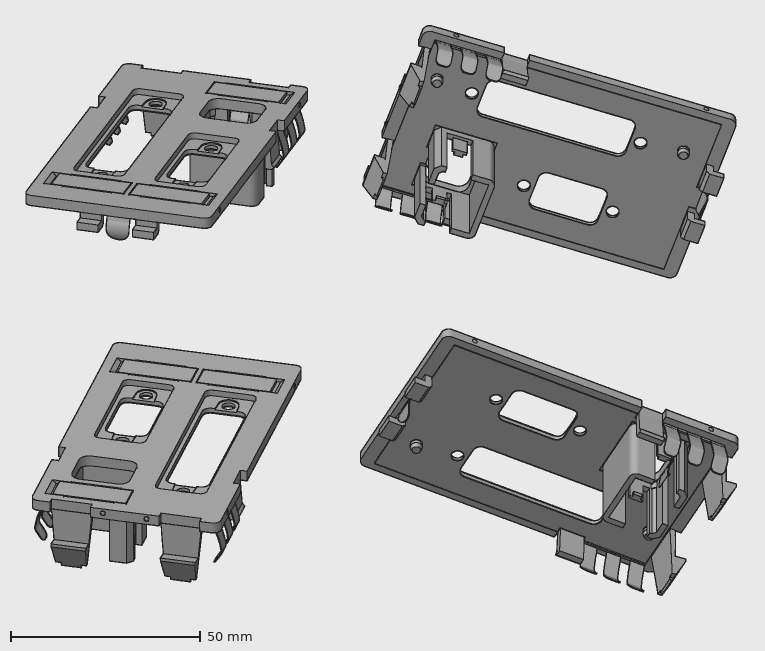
import cadquery as cq


PLATE_WIDTH = 51.5
PLATE_LENGTH = 87.4
PLATE_THICKNESS = 3.0
PLATE_CENTER_Y = -0.3
PLATE_CORNER_RADIUS = 2.1
PLATE_BACK_Y = PLATE_CENTER_Y + PLATE_LENGTH / 2

DOME_RADIUS = 0.68
DOME_HEIGHT = 0.2
DOME_STUB = 0.45
DOME_Z = -1.3
SIDE_DOME_OFFSET = 34.9
BACK_DOME_X = 6.0
BACK_DOME_RISE = 0.2

HOOK_X = 14.9
HOOK_NOTCH_WIDTH = 11.0
HOOK_FLARE_WIDTH = 11.4
HOOK_FLARE_SAG = 0.3
HOOK_FLARE_MID_Z = -4.0
HOOK_NECK_WIDTH = 10.7
HOOK_NECK_Z = -5.2
HOOK_END_WIDTH = 8.4
HOOK_TIP_WIDTH = 5.4
HOOK_SHOULDER_Z = -18.5
HOOK_TIP_Z = -19.55
HOOK_NOSE_Y = 45.25
HOOK_NOTCH_DEPTH = 1.7

LEG_Y = 17.7
LEG_LENGTH = 7.1
LEG_NOTCH_X = 23.9
LEG_INNER_X = 22.2
LEG_BOTTOM_Z = -11.3

FOOT_X = 7.7
FOOT_WIDTH = 5.9
FOOT_BACK_Y = -40.4
FOOT_STEM = 2.0
FOOT_FRONT_Y = -45.25
FOOT_TOP_Z = -5.4
FOOT_BOTTOM_Z = -7.6
FOOT_CHAMFER = 0.9

CONNECTORS = [(-11.2, 1.8, 41.5), (11.2, -9.2, 19.2)]
OPENING_WIDTH = 11.8
OPENING_RADIUS = 2.3
RECESS_WIDTH = 14.0
RECESS_OVERHANG = 6.5
RECESS_RADIUS = 1.8
RECESS_DEPTH = 1.7
SCREW_RADIUS = 1.7
SCREW_OFFSET = 2.8
SCREW_PAD_RADIUS = 2.8
SCREW_PAD_ROOT_WIDTH = 6.1
SCREW_PAD_DEPTH = 0.4

JACK_X = 10.8
JACK_OPENING_X = 10.9
JACK_OPENING_Y = 23.2
JACK_OPENING_WIDTH = 15.8
JACK_OPENING_LENGTH = 12.8
JACK_OPENING_RADIUS = 2.9
HOUSING_WIDTH = 19.0
HOUSING_FRONT_Y = 14.2
HOUSING_BACK_Y = 31.1
HOUSING_WALL = 1.6
HOUSING_RADIUS = 2.0
HOUSING_BOTTOM_Z = -22.8
SIDE_GAP_FRONT_Y = 20.8
SIDE_GAP_BACK_Y = 28.0
LINTEL_BOTTOM_Z = -5.2
POST_WIDTH = 6.15
POST_INNER_CHAMFER = 0.9
LINTEL_INNER_CHAMFER = 1.2
POST_CHAMFER = 1.5
CATCH_ARM_Y = 24.1
CATCH_ARM_LENGTH = 4.0
CATCH_ARM_THICKNESS = 0.8
CATCH_ARM_BOTTOM_Z = -10.95
CATCH_LENGTH = 2.4
CATCH_PROTRUSION = 0.9
CATCH_HEIGHT = 1.1

LABELS = [(1, 35.5), (-1, -31.95), (1, -31.95)]
POCKET_INNER_X = 0.6
POCKET_OUTER_X = 22.9
POCKET_FLOOR_OUTER_X = 21.7
POCKET_WIDTH = 7.5
POCKET_DEPTH = 1.0
CLIP_INNER_X = 4.1
CLIP_OUTER_X = 17.7
CLIP_RELIEF = 0.3
LABEL_OUTER_X = 20.8
LABEL_GAP = 0.3

STUDS = [(-12.5, -33.3), (-12.4, 35.5)]
STUD_RADIUS = 1.6
STUD_END_RADIUS = 1.2
STUD_SHOULDER_Z = -4.25
STUD_END_Z = -5.4

SHEET_THICKNESS = 0.3
SHEET_CENTER_Z = -PLATE_THICKNESS - SHEET_THICKNESS / 2
SHEET_BACK_Y = 39.9
SHEET_FRONT_Y = -40.2
SHEET_EDGE_X = 23.5
SHEET_CLEARANCE = 0.2
FINGER_BACK_Y = 39.7
FINGER_WIDTH = 4.2
FINGER_PITCH = 7.0
FINGER_COUNT = 3
FINGER_TIP_RADIUS = 1.45
FINGER_OVERLAP = 0.45
FINGER_TIP_Z = -14.6
FLANGE_BOTTOM_Z = -3.8
FLANGE_OVERHANG = 0.1
FRONT_FINGER_WIDTH = 6.3
FRONT_FINGER_TIP_Z = -10.2
FRONT_FINGER_TIP_RADIUS = 3.1
TONGUE_WIDTH = 5.1


def box(x_min, x_max, y_min, y_max, z_min, z_max):
    block = cq.Workplane("XY").box(x_max - x_min, y_max - y_min, z_max - z_min, centered=False)
    return block.translate((x_min, y_min, z_min))


def rounded_block(x, y, width, length, radius, z_min, z_max):
    block = cq.Workplane("XY").workplane(offset=z_min).center(x, y).rect(width, length)
    return block.extrude(z_max - z_min).edges("|Z").fillet(radius)


def round_pin(x, y, radius, z_min, z_max):
    pin = cq.Workplane("XY").workplane(offset=z_min).center(x, y).circle(radius)
    return pin.extrude(z_max - z_min)


def flip_x(body):
    return body.mirror("YZ")




def plate_blank():
    return rounded_block(
        0, PLATE_CENTER_Y, PLATE_WIDTH, PLATE_LENGTH, PLATE_CORNER_RADIUS, -PLATE_THICKNESS, 0
    )


def right_dome():
    """Shallow round bump on the +X edge, with a stub that sinks into the plate."""
    face_x = PLATE_WIDTH / 2
    mid_height = DOME_HEIGHT * 3 / 4
    dome = (
        cq.Workplane("XY")
        .moveTo(face_x - DOME_STUB, 0)
        .lineTo(face_x + DOME_HEIGHT, 0)
        .threePointArc((face_x + mid_height, DOME_RADIUS / 2), (face_x, DOME_RADIUS))
        .lineTo(face_x - DOME_STUB, DOME_RADIUS)
        .close()
        .revolve(360, (0, 0, 0), (1, 0, 0))
    )
    return dome.translate((0, 0, DOME_Z))


def edge_domes():
    """Two bumps on each long edge and two on the back edge."""
    back_dome = right_dome().rotate((0, 0, 0), (0, 0, 1), 90)
    back_dome = back_dome.translate((0, PLATE_BACK_Y + BACK_DOME_RISE - PLATE_WIDTH / 2, 0))
    domes = [back_dome.translate((side * BACK_DOME_X, 0, 0)) for side in (-1, 1)]
    for end in (-1, 1):
        dome = right_dome().translate((0, PLATE_CENTER_Y + end * SIDE_DOME_OFFSET, 0))
        domes += [dome, flip_x(dome)]
    return domes


def hook(x):
    """Tapered tongue with a barb that points to the back."""
    side_profile = [
        (41.8, -PLATE_THICKNESS),
        (42.2, -11.95),
        (HOOK_NOSE_Y, -11.6),
        (HOOK_NOSE_Y, -12.5),
        (42.1, HOOK_TIP_Z),
        (41.5, -19.2),
        (40.2, -PLATE_THICKNESS),
    ]
    blade = cq.Workplane("YZ").polyline(side_profile).close().extrude(HOOK_FLARE_WIDTH / 2, both=True)
    flare_middle = (HOOK_FLARE_WIDTH / 2 - HOOK_FLARE_SAG, HOOK_FLARE_MID_Z)
    silhouette = (
        cq.Workplane("XZ")
        .moveTo(0, -PLATE_THICKNESS)
        .lineTo(HOOK_FLARE_WIDTH / 2, -PLATE_THICKNESS)
        .threePointArc(flare_middle, (HOOK_NECK_WIDTH / 2, HOOK_NECK_Z))
        .lineTo(HOOK_END_WIDTH / 2, HOOK_SHOULDER_Z)
        .lineTo(HOOK_TIP_WIDTH / 2, HOOK_SHOULDER_Z)
        .lineTo(HOOK_TIP_WIDTH / 2, HOOK_TIP_Z)
        .lineTo(0, HOOK_TIP_Z)
        .mirrorY()
        .extrude(-2 * HOOK_NOSE_Y)
    )
    return blade.intersect(silhouette).translate((x, 0, 0))


def hook_notch(x):
    return box(
        x - HOOK_NOTCH_WIDTH / 2,
        x + HOOK_NOTCH_WIDTH / 2,
        PLATE_BACK_Y - HOOK_NOTCH_DEPTH,
        HOOK_NOSE_Y,
        -PLATE_THICKNESS,
        0,
    )


def right_leg():
    """Snap leg with a small barb, at the +X edge."""
    profile = [
        (LEG_NOTCH_X, -PLATE_THICKNESS),
        (24.4, -9.9),
        (25.2, -10.7),
        (24.4, LEG_BOTTOM_Z),
        (22.7, LEG_BOTTOM_Z),
        (LEG_INNER_X, -PLATE_THICKNESS),
    ]
    leg = cq.Workplane("XZ").polyline(profile).close().extrude(LEG_LENGTH / 2, both=True)
    return leg.translate((0, LEG_Y, 0))


def right_leg_notch():
    return box(
        LEG_NOTCH_X, PLATE_WIDTH, LEG_Y - LEG_LENGTH / 2, LEG_Y + LEG_LENGTH / 2, -PLATE_THICKNESS, 0
    )


def foot(x):
    profile = [
        (FOOT_BACK_Y, -PLATE_THICKNESS),
        (FOOT_BACK_Y, FOOT_BOTTOM_Z + FOOT_CHAMFER),
        (FOOT_BACK_Y - FOOT_CHAMFER, FOOT_BOTTOM_Z),
        (FOOT_FRONT_Y, FOOT_BOTTOM_Z),
        (FOOT_FRONT_Y, FOOT_TOP_Z),
        (FOOT_BACK_Y - FOOT_STEM, FOOT_TOP_Z),
        (FOOT_BACK_Y - FOOT_STEM, -PLATE_THICKNESS),
    ]
    solid = cq.Workplane("YZ").polyline(profile).close().extrude(FOOT_WIDTH / 2, both=True)
    return solid.translate((x, 0, 0))


def screw_places(y, opening_length):
    """Y of each screw hole, with the direction that points away from the opening."""
    return [(y + end * (opening_length / 2 + SCREW_OFFSET), end) for end in (-1, 1)]


def connector_cut(x, y, opening_length):
    """Recess, opening, screw holes and the shallow pads around the screw holes."""
    recess = rounded_block(
        x, y, RECESS_WIDTH, opening_length + 2 * RECESS_OVERHANG, RECESS_RADIUS, -RECESS_DEPTH, 0
    )
    cut = recess.union(
        rounded_block(x, y, OPENING_WIDTH, opening_length, OPENING_RADIUS, -PLATE_THICKNESS, 0)
    )
    for screw_y, end in screw_places(y, opening_length):
        pad_root_y = y + end * (opening_length / 2 - OPENING_RADIUS / 2)
        pad = (
            cq.Workplane("XY")
            .workplane(offset=-RECESS_DEPTH - SCREW_PAD_DEPTH)
            .moveTo(x - SCREW_PAD_ROOT_WIDTH / 2, pad_root_y)
            .lineTo(x - SCREW_PAD_RADIUS, screw_y)
            .threePointArc((x, screw_y + end * SCREW_PAD_RADIUS), (x + SCREW_PAD_RADIUS, screw_y))
            .lineTo(x + SCREW_PAD_ROOT_WIDTH / 2, pad_root_y)
            .close()
            .extrude(SCREW_PAD_DEPTH)
        )
        hole = cq.Workplane("XY").center(x, screw_y).circle(SCREW_RADIUS).extrude(-PLATE_THICKNESS)
        cut = cut.union(pad).union(hole)
    return cut


def jack_opening():
    return rounded_block(
        JACK_OPENING_X,
        JACK_OPENING_Y,
        JACK_OPENING_WIDTH,
        JACK_OPENING_LENGTH,
        JACK_OPENING_RADIUS,
        -PLATE_THICKNESS,
        0,
    )


def jack_housing():
    """U-shaped front wall, two back posts and lintels over the side gaps, centered on X = 0."""
    half_width = HOUSING_WIDTH / 2
    inner_half_width = half_width - HOUSING_WALL
    top = -PLATE_THICKNESS
    shell = box(-half_width, half_width, HOUSING_FRONT_Y, HOUSING_BACK_Y, HOUSING_BOTTOM_Z, top)
    shell = shell.edges("|Z and <Y").fillet(HOUSING_RADIUS)
    shell = shell.edges("|Z and >Y").chamfer(POST_CHAMFER)
    for z_min, z_max, corner_chamfer in (
        (HOUSING_BOTTOM_Z, LINTEL_BOTTOM_Z, POST_INNER_CHAMFER),
        (LINTEL_BOTTOM_Z, top, LINTEL_INNER_CHAMFER),
    ):
        cavity = box(
            -inner_half_width,
            inner_half_width,
            HOUSING_FRONT_Y + HOUSING_WALL,
            HOUSING_BACK_Y - HOUSING_WALL,
            z_min,
            z_max,
        )
        shell = shell.cut(cavity.edges("|Z and >Y").chamfer(corner_chamfer))
    side_gaps = box(
        -half_width, half_width, SIDE_GAP_FRONT_Y, SIDE_GAP_BACK_Y, HOUSING_BOTTOM_Z, LINTEL_BOTTOM_Z
    )
    gap_half_width = half_width - POST_WIDTH
    back_gap = box(
        -gap_half_width, gap_half_width, SIDE_GAP_BACK_Y, HOUSING_BACK_Y, HOUSING_BOTTOM_Z, top
    )
    return shell.cut(side_gaps).cut(back_gap)


def pocket(side, y):
    """Label pocket with a sloped grip end and a relief along each long side."""
    profile = [
        (POCKET_INNER_X, 0),
        (POCKET_INNER_X, -POCKET_DEPTH),
        (POCKET_FLOOR_OUTER_X, -POCKET_DEPTH),
        (POCKET_OUTER_X, 0),
    ]
    cut = cq.Workplane("XZ").polyline(profile).close().extrude(POCKET_WIDTH / 2, both=True)
    relief = POCKET_WIDTH / 2 + CLIP_RELIEF
    cut = cut.union(box(CLIP_INNER_X, CLIP_OUTER_X, -relief, relief, -POCKET_DEPTH, 0))
    if side < 0:
        cut = flip_x(cut)
    return cut.translate((0, y, 0))


def stud(x, y):
    shoulder = cq.Workplane("XY").workplane(offset=STUD_SHOULDER_Z).circle(STUD_RADIUS)
    shoulder = shoulder.extrude(-PLATE_THICKNESS - STUD_SHOULDER_Z)
    end = (
        cq.Workplane("XY")
        .workplane(offset=STUD_END_Z)
        .circle(STUD_END_RADIUS)
        .workplane(offset=STUD_SHOULDER_Z - STUD_END_Z)
        .circle(STUD_RADIUS)
        .loft()
    )
    return shoulder.union(end).translate((x, y, 0))


def catch_arm():
    """Flat arm that hangs in the +X side gap of the jack housing, with a catch on its inner face."""
    inner = HOUSING_WIDTH / 2 - HOUSING_WALL
    arm = box(
        inner,
        inner + CATCH_ARM_THICKNESS,
        -CATCH_ARM_LENGTH / 2,
        CATCH_ARM_LENGTH / 2,
        CATCH_ARM_BOTTOM_Z,
        -PLATE_THICKNESS,
    )
    catch = box(
        inner - CATCH_PROTRUSION,
        inner,
        -CATCH_LENGTH / 2,
        CATCH_LENGTH / 2,
        CATCH_ARM_BOTTOM_Z,
        CATCH_ARM_BOTTOM_Z + CATCH_HEIGHT,
    )
    return arm.union(catch).translate((0, CATCH_ARM_Y, 0))


def make_plate():
    plate = plate_blank()
    for dome in edge_domes():
        plate = plate.union(dome)
    for side in (-1, 1):
        plate = plate.cut(hook_notch(side * HOOK_X)).union(hook(side * HOOK_X)).union(foot(side * FOOT_X))
    plate = plate.cut(right_leg_notch()).cut(flip_x(right_leg_notch()))
    plate = plate.union(right_leg()).union(flip_x(right_leg()))
    for connector in CONNECTORS:
        plate = plate.cut(connector_cut(*connector))
    for part in (jack_housing(), catch_arm(), flip_x(catch_arm())):
        plate = plate.union(part.translate((JACK_X, 0, 0)))
    plate = plate.cut(jack_opening())
    for label_place in LABELS:
        plate = plate.cut(pocket(*label_place))
    for stud_place in STUDS:
        plate = plate.union(stud(*stud_place))
    return plate




def make_label(side, y):
    half_width = POCKET_WIDTH / 2 - LABEL_GAP
    label = box(POCKET_INNER_X + LABEL_GAP, LABEL_OUTER_X, -half_width, half_width, -POCKET_DEPTH, 0)
    if side < 0:
        label = flip_x(label)
    return label.translate((0, y, 0))




def bent_finger(path, width, tip_z, tip_radius):
    """Strip bent along a path in the XZ plane, widened along Y, with a rounded tip."""
    finger = path.offset2D(SHEET_THICKNESS / 2).extrude(width / 2, both=True)
    silhouette = box(0, PLATE_LENGTH, -width / 2, width / 2, tip_z, -PLATE_THICKNESS)
    return finger.intersect(silhouette.edges("|X and <Z").fillet(tip_radius))


def side_finger():
    """Finger at the +X edge that bows outwards and turns back in at its tip."""
    path = (
        cq.Workplane("XZ")
        .moveTo(SHEET_EDGE_X - FINGER_OVERLAP, SHEET_CENTER_Z)
        .lineTo(SHEET_EDGE_X, SHEET_CENTER_Z)
        .lineTo(24.0, -5.0)
        .threePointArc((24.9, -7.5), (25.4, -10.1))
        .threePointArc((25.4, -10.95), (25.1, -11.7))
        .lineTo(23.2, FINGER_TIP_Z)
        .wire()
    )
    return bent_finger(path, FINGER_WIDTH, FINGER_TIP_Z, FINGER_TIP_RADIUS)


def right_fingers():
    """Row of fingers along the +X edge, joined at the root by a short flange."""
    row_length = FINGER_WIDTH + (FINGER_COUNT - 1) * FINGER_PITCH
    fingers = box(
        SHEET_EDGE_X - FINGER_OVERLAP,
        SHEET_EDGE_X + FLANGE_OVERHANG,
        FINGER_BACK_Y - row_length,
        FINGER_BACK_Y,
        FLANGE_BOTTOM_Z,
        -PLATE_THICKNESS,
    )
    for number in range(FINGER_COUNT):
        y = FINGER_BACK_Y - FINGER_WIDTH / 2 - number * FINGER_PITCH
        fingers = fingers.union(side_finger().translate((0, y, 0)))
    return fingers


def front_finger():
    """Single wide finger between the two feet."""
    path = (
        cq.Workplane("XZ")
        .moveTo(-SHEET_FRONT_Y - FINGER_OVERLAP, SHEET_CENTER_Z)
        .lineTo(42.2, SHEET_CENTER_Z)
        .lineTo(42.6, -5.0)
        .threePointArc((43.3, -7.2), (42.35, FRONT_FINGER_TIP_Z))
        .wire()
    )
    finger = bent_finger(path, FRONT_FINGER_WIDTH, FRONT_FINGER_TIP_Z, FRONT_FINGER_TIP_RADIUS)
    return finger.rotate((0, 0, 0), (0, 0, 1), -90)


def jack_tongue():
    """Contact tongue that drops from the sheet through the back gap of the jack housing."""
    path = (
        cq.Workplane("XZ")
        .moveTo(-HOUSING_BACK_Y - FINGER_OVERLAP, SHEET_CENTER_Z)
        .lineTo(-29.9, SHEET_CENTER_Z)
        .lineTo(-28.8, -5.25)
        .threePointArc((-28.3, -7.6), (-28.15, -10.0))
        .wire()
    )
    tongue = path.offset2D(SHEET_THICKNESS / 2).extrude(TONGUE_WIDTH / 2, both=True)
    return tongue.rotate((0, 0, 0), (0, 0, 1), -90).translate((JACK_X, 0, 0))


def sheet_windows():
    """Clearance for the connectors, the jack housing, the studs and the snap legs."""
    bottom = -PLATE_THICKNESS - SHEET_THICKNESS
    top = -PLATE_THICKNESS
    windows = box(
        JACK_X - HOUSING_WIDTH / 2 - SHEET_CLEARANCE,
        JACK_X + HOUSING_WIDTH / 2 + SHEET_CLEARANCE,
        HOUSING_FRONT_Y - SHEET_CLEARANCE,
        HOUSING_BACK_Y + SHEET_CLEARANCE,
        bottom,
        top,
    )
    for x, y, opening_length in CONNECTORS:
        windows = windows.union(
            rounded_block(x, y, OPENING_WIDTH, opening_length, OPENING_RADIUS, bottom, top)
        )
        for screw_y, _ in screw_places(y, opening_length):
            windows = windows.union(round_pin(x, screw_y, SCREW_RADIUS, bottom, top))
    for x, y in STUDS:
        windows = windows.union(round_pin(x, y, STUD_RADIUS, bottom, top))
    leg_window = box(
        LEG_INNER_X - SHEET_CLEARANCE,
        SHEET_EDGE_X,
        LEG_Y - LEG_LENGTH / 2 - SHEET_CLEARANCE,
        LEG_Y + LEG_LENGTH / 2 + SHEET_CLEARANCE,
        bottom,
        top,
    )
    return windows.union(leg_window).union(flip_x(leg_window))


def make_spring():
    sheet = box(
        -SHEET_EDGE_X,
        SHEET_EDGE_X,
        SHEET_FRONT_Y,
        SHEET_BACK_Y,
        -PLATE_THICKNESS - SHEET_THICKNESS,
        -PLATE_THICKNESS,
    )
    spring = sheet.cut(sheet_windows())
    for part in (right_fingers(), flip_x(right_fingers()), front_finger(), jack_tongue()):
        spring = spring.union(part)
    return spring



plate = make_plate()
labels = [make_label(*label_place) for label_place in LABELS]
spring = make_spring()

result = cq.Compound.makeCompound([plate.val(), *[label.val() for label in labels], spring.val()])